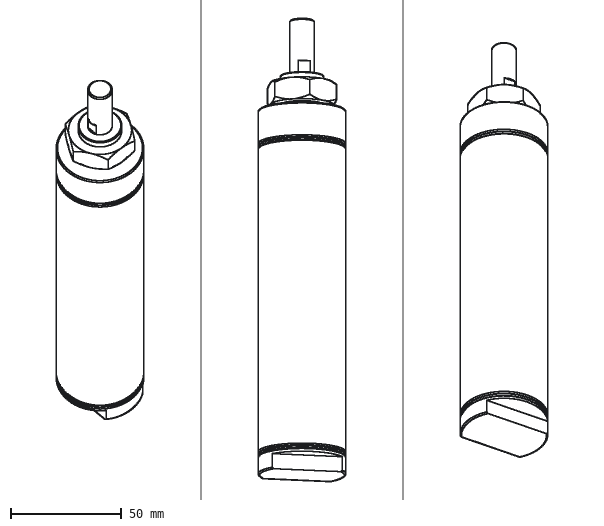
import cadquery as cq
import math

total_height = 209.8
barrel_radius = 19.83
head_top = 168.3
edge_chamfer = 0.6

tang_width = 22.7
tang_height = 7.0

groove_pitch = 1.3
groove_depth = 0.6
grooves_per_pair = 2
groove_pair_bottoms = (8.2, 150.5)

neck_radius = 9.9
neck_top = 184.2
neck_chamfer = 0.5

nut_bottom = 170.8
nut_height = 10.0
nut_across_flats = 28.5
nut_chamfer_height = 1.7

rod_radius = 5.55
rod_seat = 153.0
rod_flats_width = 9.7
rod_flats_height = 6.0


def cylinder(radius, bottom, top):
    return cq.Workplane("XY").workplane(offset=bottom).circle(radius).extrude(top - bottom)


def two_flats(width, bottom, top):
    """Slab bounded by two planes facing -Y and +Y, wider in X than the barrel."""
    slab_length = 4 * barrel_radius
    return cq.Workplane("XY").workplane(offset=bottom).rect(slab_length, width).extrude(top - bottom)


def v_groove(bottom):
    """Ring-shaped cutter for one V groove in the barrel wall."""
    profile = [
        (barrel_radius, bottom),
        (barrel_radius - groove_depth, bottom + groove_pitch / 2),
        (barrel_radius, bottom + groove_pitch),
    ]
    return cq.Workplane("XZ").polyline(profile).close().revolve(360, (0, 0), (0, 1))


def make_housing():
    housing = cylinder(barrel_radius, 0, head_top).faces("<Z or >Z").chamfer(edge_chamfer)
    beside_tang = cylinder(2 * barrel_radius, 0, tang_height)
    beside_tang = beside_tang.cut(two_flats(tang_width, 0, tang_height))
    housing = housing.cut(beside_tang)
    for pair_bottom in groove_pair_bottoms:
        for index in range(grooves_per_pair):
            housing = housing.cut(v_groove(pair_bottom + index * groove_pitch))
    neck = cylinder(neck_radius, head_top, neck_top).faces(">Z").chamfer(neck_chamfer)
    housing = housing.union(neck)
    return housing.cut(cylinder(rod_radius, rod_seat, neck_top))


def make_nut():
    across_corners = nut_across_flats / math.cos(math.pi / 6)
    flat_radius = nut_across_flats / 2
    corner_radius = across_corners / 2
    nut_top = nut_bottom + nut_height
    hexagon = (
        cq.Workplane("XY")
        .workplane(offset=nut_bottom)
        .transformed(rotate=(0, 0, 90))
        .polygon(6, across_corners)
        .extrude(nut_height)
    )
    blank_profile = [
        (0, nut_bottom),
        (flat_radius, nut_bottom),
        (corner_radius, nut_bottom + nut_chamfer_height),
        (corner_radius, nut_top - nut_chamfer_height),
        (flat_radius, nut_top),
        (0, nut_top),
    ]
    blank = cq.Workplane("XZ").polyline(blank_profile).close().revolve(360, (0, 0), (0, 1))
    return hexagon.intersect(blank).cut(cylinder(neck_radius, nut_bottom, nut_top))


def make_rod():
    rod = cylinder(rod_radius, rod_seat, total_height).faces(">Z").chamfer(edge_chamfer)
    flats_top = neck_top + rod_flats_height
    beside_flats = cylinder(2 * rod_radius, neck_top, flats_top)
    beside_flats = beside_flats.cut(two_flats(rod_flats_width, neck_top, flats_top))
    return rod.cut(beside_flats)


housing = make_housing()
nut = make_nut()
rod = make_rod()

result = cq.Compound.makeCompound([housing.val(), nut.val(), rod.val()])